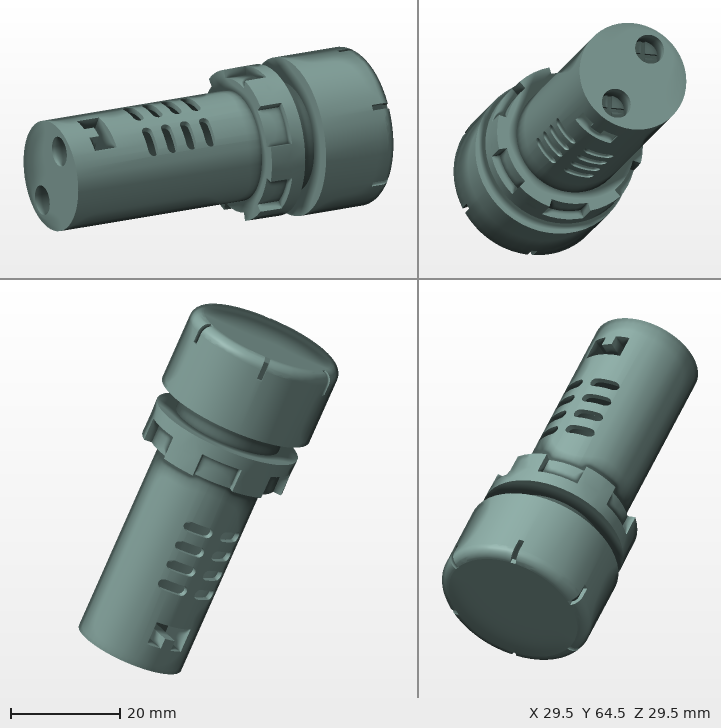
import cadquery as cq
import math

LENGTH = 64.5

BARREL_R = 10.25
BARREL_WALL = 1.0
HEAD_DIAMETER = 29.5
HEAD_R = HEAD_DIAMETER / 2
HEAD_WALL = 0.95
HEAD_START = 49.55
LENS_FILLET = 2.0
TERMINAL_BLOCK = 10.3

LENS_SLOTS = 6
LENS_SLOT_WIDTH = 1.0
LENS_SLOT_DEPTH = 4.1

TERMINAL_TILT = 30.0
SIDES = (TERMINAL_TILT, TERMINAL_TILT + 180)

VENT_LENGTH = 5.3
VENT_WIDTH = 2.0
VENT_OFFSET = 3.6
VENT_PITCH = 4.0
VENT_FIRST_Y = 16.45
VENT_ROWS = 4

WINDOW_WIDTH = 7.75
WINDOW_START = 4.7
WINDOW_END = 9.3
WINDOW_FLOOR = 2.8
TAB_WIDTH = 2.25
TAB_LENGTH = 2.0

SCREW_R = 2.8
SCREW_OFFSET = 6.4
SCREW_HOLE_DEPTH = 4.0
CROSS_WIDTH = 0.85
CROSS_DEPTH = 0.6

NUT_START = 38.6
NUT_LENGTH = 6.95
NUT_SMALL_R = 14.0
NUT_LARGE_R = 14.05
NOTCHES = 6
NOTCH_LENGTH = 4.45
NOTCH_FLOOR_R = 12.45
NOTCH_ANGLE = 32.6

CLEARANCE = 1.3


def cylinder(radius, start, end):
    """Solid cylinder on the lamp axis between two Y positions."""
    return cq.Workplane("XZ", origin=(0, start, 0)).circle(radius).extrude(start - end)


def turn(shape, angle):
    """Turn a shape about the lamp axis; positive angles carry Z towards X."""
    return shape.rotate((0, 0, 0), (0, 1, 0), angle)


def block(width, start, end, inner, outer):
    """Box centred on X = 0, from start to end in Y and from inner to outer in Z."""
    size_y = end - start
    size_z = outer - inner
    box = cq.Workplane("XY").box(width, size_y, size_z)
    return box.translate((0, (start + end) / 2, (inner + outer) / 2))


def make_shell():
    """Hollow barrel and head, closed at the lens face and by the terminal block."""
    head = cylinder(HEAD_R, HEAD_START, LENGTH).faces(">Y").edges().fillet(LENS_FILLET)
    outside = cylinder(BARREL_R, 0, HEAD_START).union(head)

    cavity = cylinder(HEAD_R - HEAD_WALL, HEAD_START + HEAD_WALL, LENGTH - HEAD_WALL)
    cavity = cavity.faces(">Y").edges().fillet(LENS_FILLET - HEAD_WALL)
    bore = cylinder(BARREL_R - BARREL_WALL, TERMINAL_BLOCK, HEAD_START + HEAD_WALL)
    return outside.cut(cavity.union(bore))


def cut_lens_slots(body):
    """Slots through the rim of the lens, reaching in to the edge of its flat face."""
    slot = block(
        LENS_SLOT_WIDTH,
        LENGTH - LENS_SLOT_DEPTH,
        LENGTH + CLEARANCE,
        HEAD_R - LENS_FILLET,
        HEAD_R + CLEARANCE,
    )
    for i in range(LENS_SLOTS):
        body = body.cut(turn(slot, i * 360 / LENS_SLOTS))
    return body


def cut_vents(body):
    """Obround vents through the barrel wall, in two columns on each side."""
    centres = [
        (side * VENT_OFFSET, VENT_FIRST_Y + row * VENT_PITCH)
        for side in (-1, 1)
        for row in range(VENT_ROWS)
    ]
    vents = cq.Workplane("XY").pushPoints(centres).slot2D(VENT_LENGTH, VENT_WIDTH)
    vents = vents.extrude(BARREL_R + CLEARANCE)
    for angle in SIDES:
        body = body.cut(turn(vents, angle))
    return body


def cut_windows(body):
    """Flat-bottomed windows into the terminal block, each leaving a central tab."""
    outer = BARREL_R + CLEARANCE
    window = block(WINDOW_WIDTH, WINDOW_START, WINDOW_END, WINDOW_FLOOR, outer)
    tab = block(TAB_WIDTH, WINDOW_START, WINDOW_START + TAB_LENGTH, WINDOW_FLOOR, outer)
    opening = window.cut(tab)
    for angle in SIDES:
        body = body.cut(turn(opening, angle))
    return body


def cut_screw_holes(body):
    """Blind holes in the terminal end with a cross slot sunk in the floor."""
    cross_end = SCREW_HOLE_DEPTH + CROSS_DEPTH
    hole = cylinder(SCREW_R, 0, SCREW_HOLE_DEPTH)
    bar = block(CROSS_WIDTH, SCREW_HOLE_DEPTH, cross_end, -SCREW_R, SCREW_R)
    cross = bar.union(turn(bar, 90)).intersect(cylinder(SCREW_R, SCREW_HOLE_DEPTH, cross_end))
    screw_hole = hole.union(cross)
    for angle in SIDES:
        tilt = math.radians(angle)
        place = (SCREW_OFFSET * math.sin(tilt), 0, SCREW_OFFSET * math.cos(tilt))
        body = body.cut(screw_hole.translate(place))
    return body


def make_housing():
    body = cut_lens_slots(make_shell())
    body = cut_vents(body)
    body = cut_windows(body)
    return cut_screw_holes(body)


def make_nut():
    """Tapered ring that fits the barrel, notched around its terminal-side end."""
    section = [
        (BARREL_R, NUT_START),
        (NUT_SMALL_R, NUT_START),
        (NUT_LARGE_R, NUT_START + NUT_LENGTH),
        (BARREL_R, NUT_START + NUT_LENGTH),
    ]
    nut = cq.Workplane("XY").polyline(section).close().revolve(360, (0, 0), (0, 1))

    notch = (
        cq.Workplane("XY")
        .moveTo(NOTCH_FLOOR_R, NUT_START - CLEARANCE)
        .lineTo(NUT_LARGE_R + CLEARANCE, NUT_START - CLEARANCE)
        .lineTo(NUT_LARGE_R + CLEARANCE, NUT_START + NOTCH_LENGTH)
        .lineTo(NOTCH_FLOOR_R, NUT_START + NOTCH_LENGTH)
        .close()
        .revolve(NOTCH_ANGLE, (0, 0), (0, 1))
    )
    first_angle = 90 - NOTCH_ANGLE / 2
    for i in range(NOTCHES):
        nut = nut.cut(turn(notch, first_angle + i * 360 / NOTCHES))
    return nut


housing = make_housing()
nut = make_nut()
result = cq.Compound.makeCompound([housing.solids().val(), nut.solids().val()])